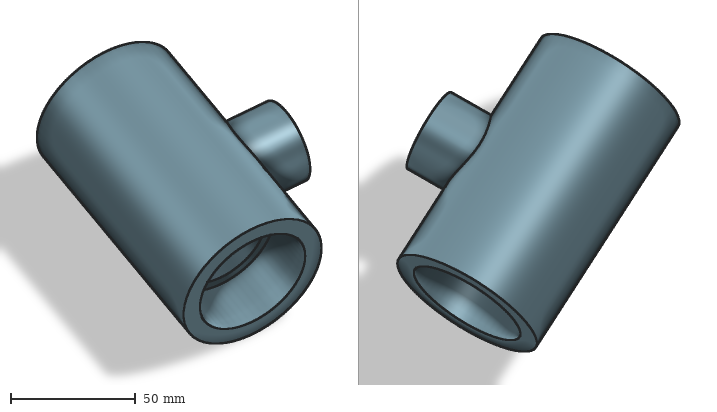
import cadquery as cq

body_length = 110.0
body_diameter = 65.5
bore_diameter = 41.6
socket_diameter = 49.9
socket_depth = 23.4

branch_diameter = 35.4
overall_width = 83.7
branch_reach = overall_width - body_diameter / 2


def cylinder_along_x(diameter, start, length):
    """Cylinder on the pipe axis, from X = start."""
    return cq.Workplane("YZ", origin=(start, 0, 0)).circle(diameter / 2).extrude(length)


body = cylinder_along_x(body_diameter, -body_length / 2, body_length)
branch = cq.Workplane("XZ").circle(branch_diameter / 2).extrude(-branch_reach)
result = body.union(branch)

result = result.cut(cylinder_along_x(bore_diameter, -body_length / 2, body_length))

for start in (-body_length / 2, body_length / 2 - socket_depth):
    result = result.cut(cylinder_along_x(socket_diameter, start, socket_depth))